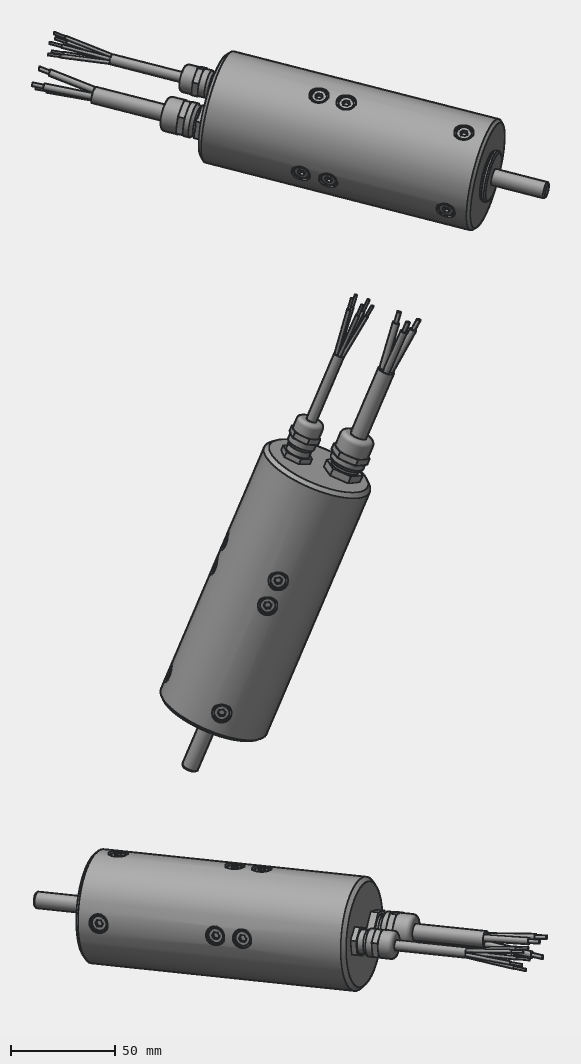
import cadquery as cq
import math

hexagon_sides = 6
embed = 1.3

housing_diameter = 55.0
housing_length = 137.5
rear_chamfer = 2.0
front_chamfer = 1.5

overall_length = 254.0
wire_reach = 86.5
shaft_diameter = 8.0
shaft_end_x = overall_length - wire_reach
shaft_chamfer = 0.8
collar_diameter = 25.5
collar_length = 3.0
collar_neck_diameter = 23.9
collar_neck_length = 1.0
collar_chamfer = 0.8

screw_ring_positions = (52.3, 66.0, 125.5)
screws_per_ring = 4
screw_recess_diameter = 9.5
screw_recess_depth = 1.5
screw_head_diameter = 7.4
screw_head_depth = 0.8
socket_corner_diameter = 3.8
socket_depth = 2.5

cable_offset = 12.0

power_gland = dict(
    nut_diameter=17.0,
    neck_diameter=14.0,
    hex_corner_diameter=18.8,
    hex_angle=10,
    nut_end=21.5,
    nut_round=2.3,
    hex_end=13.0,
    hex_start=9.6,
    nut_start=6.9,
    neck_end=5.0,
    base_hex=3.8,
)
power_cable = dict(
    diameter=8.0,
    end=57.5,
    wire_count=3,
    insulation_diameter=3.3,
    insulation_end=81.0,
    conductor_diameter=2.0,
    root_radius=2.0,
    tip_radius=5.8,
    fan_angle=-87,
)
signal_gland = dict(
    nut_diameter=13.7,
    neck_diameter=12.0,
    hex_corner_diameter=15.5,
    hex_angle=17,
    nut_end=20.5,
    nut_round=2.0,
    hex_end=13.7,
    hex_start=10.7,
    nut_start=7.4,
    neck_end=5.8,
    base_hex=2.8,
)
signal_cable = dict(
    diameter=5.0,
    end=56.5,
    wire_count=5,
    insulation_diameter=1.8,
    insulation_end=80.5,
    conductor_diameter=1.3,
    root_radius=1.5,
    tip_radius=5.5,
    fan_angle=-90,
)


def rod(start_x, end_x, diameter):
    return cq.Workplane("YZ").workplane(offset=start_x).circle(diameter / 2).extrude(end_x - start_x)


def hexagon(start_x, end_x, corner_diameter, angle):
    outline = cq.Workplane("YZ").workplane(offset=start_x).polygon(hexagon_sides, corner_diameter)
    return outline.extrude(end_x - start_x).rotate((0, 0, 0), (1, 0, 0), angle)


def housing():
    body = rod(0, housing_length, housing_diameter)
    return body.faces("<X").chamfer(rear_chamfer).faces(">X").chamfer(front_chamfer)


def front_collar_and_shaft():
    neck_end = housing_length + collar_neck_length
    neck = rod(housing_length - embed, neck_end, collar_neck_diameter)
    disc = rod(neck_end, housing_length + collar_length, collar_diameter).faces(">X").chamfer(collar_chamfer)
    shaft = rod(housing_length - embed, shaft_end_x, shaft_diameter).faces(">X").chamfer(shaft_chamfer)
    return neck.union(disc).union(shaft)


def add_screws(body):
    crown = housing_diameter / 2
    for x in screw_ring_positions:
        for index in range(screws_per_ring):
            angle = index * 360 / screws_per_ring
            top = cq.Workplane("XY", origin=(x, 0, crown))
            recess = top.circle(screw_recess_diameter / 2).extrude(-screw_recess_depth)
            head = (
                top.workplane(offset=-screw_head_depth)
                .circle(screw_head_diameter / 2)
                .extrude(screw_head_depth - screw_recess_depth)
            )
            socket = top.polygon(hexagon_sides, socket_corner_diameter).extrude(-socket_depth)
            cutter = recess.cut(head).union(socket)
            body = body.cut(cutter.rotate((0, 0, 0), (1, 0, 0), angle))
    return body


def gland(size):
    nut_radius = size["nut_diameter"] / 2
    neck_radius = size["neck_diameter"] / 2
    end = -size["nut_end"]
    bend = size["nut_round"]
    profile = (
        cq.Workplane("XY")
        .moveTo(embed, 0)
        .lineTo(embed, neck_radius)
        .lineTo(-size["neck_end"], neck_radius)
        .lineTo(-size["nut_start"], nut_radius)
        .lineTo(end + bend, nut_radius)
        .radiusArc((end, nut_radius - bend), -bend)
        .lineTo(end, 0)
        .close()
    )
    fitting = profile.revolve(360, (0, 0, 0), (1, 0, 0))
    corners = size["hex_corner_diameter"]
    wrench_band = rod(-size["hex_end"], -size["hex_start"], size["nut_diameter"])
    nut_hex = hexagon(-size["hex_end"], -size["hex_start"], corners, size["hex_angle"])
    base_hex = hexagon(-size["base_hex"], embed, corners, size["hex_angle"])
    return fitting.cut(wrench_band).union(nut_hex).union(base_hex)


def cable(size):
    """Sheathed cable whose wires fan out evenly towards stripped tips."""
    root_x = -size["end"] + embed
    insulation_x = -size["insulation_end"]
    spread = size["tip_radius"] - size["root_radius"]

    def strand(start_x, end_x, diameter, angle):
        def ring(x):
            radius = size["root_radius"] + spread * (x - root_x) / (-wire_reach - root_x)
            centre = cq.Vector(x, radius * math.cos(angle), radius * math.sin(angle))
            return cq.Wire.makeCircle(diameter / 2, centre, cq.Vector(1, 0, 0))

        return cq.Workplane(cq.Solid.makeLoft([ring(start_x), ring(end_x)], True))

    bundle = rod(-size["end"], embed, size["diameter"])
    for index in range(size["wire_count"]):
        angle = math.radians(size["fan_angle"] + index * 360 / size["wire_count"])
        bundle = bundle.union(strand(root_x, insulation_x, size["insulation_diameter"], angle))
        bundle = bundle.union(strand(insulation_x + embed, -wire_reach, size["conductor_diameter"], angle))
    return bundle


def cable_exit(gland_size, cable_size, y):
    return gland(gland_size).union(cable(cable_size)).translate((0, y, 0))


result = (
    add_screws(housing())
    .union(front_collar_and_shaft())
    .union(cable_exit(power_gland, power_cable, -cable_offset))
    .union(cable_exit(signal_gland, signal_cable, cable_offset))
)